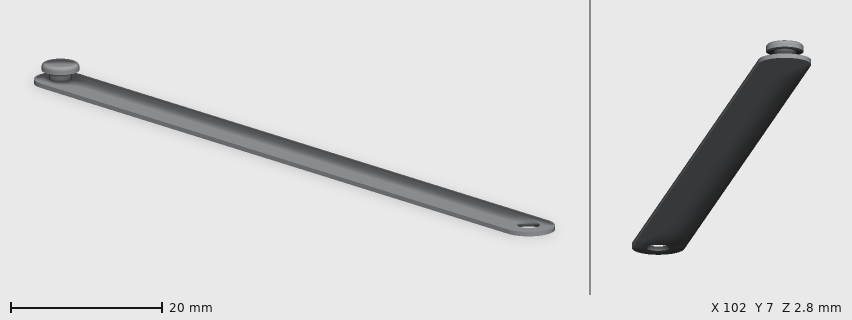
import cadquery as cq

overall_length = 102.0
strap_width = 7.0
strap_thickness = 0.6
end_radius = strap_width / 2
end_center_x = overall_length / 2 - end_radius

hole_diameter = 3.0

overall_height = 2.8
stem_diameter = 3.0
head_diameter = 5.0
head_thickness = 1.0
head_fillet = 0.5
head_bottom_z = overall_height - head_thickness


def make_strap():
    """Round-ended bar lying on the XY plane, with the hole through it."""
    bar = cq.Workplane("XY").slot2D(overall_length, strap_width).extrude(strap_thickness)
    hole = (
        cq.Workplane("XY")
        .center(end_center_x, 0)
        .circle(hole_diameter / 2)
        .extrude(strap_thickness)
    )
    return bar.cut(hole)


def make_pin():
    """Stem rising through the strap to a wider head with a rounded top edge."""
    stem = (
        cq.Workplane("XY")
        .center(-end_center_x, 0)
        .circle(stem_diameter / 2)
        .extrude(head_bottom_z)
    )
    head = (
        cq.Workplane("XY", origin=(-end_center_x, 0, head_bottom_z))
        .circle(head_diameter / 2)
        .extrude(head_thickness)
        .faces(">Z")
        .edges()
        .fillet(head_fillet)
    )
    return stem.union(head)


result = make_strap().union(make_pin())